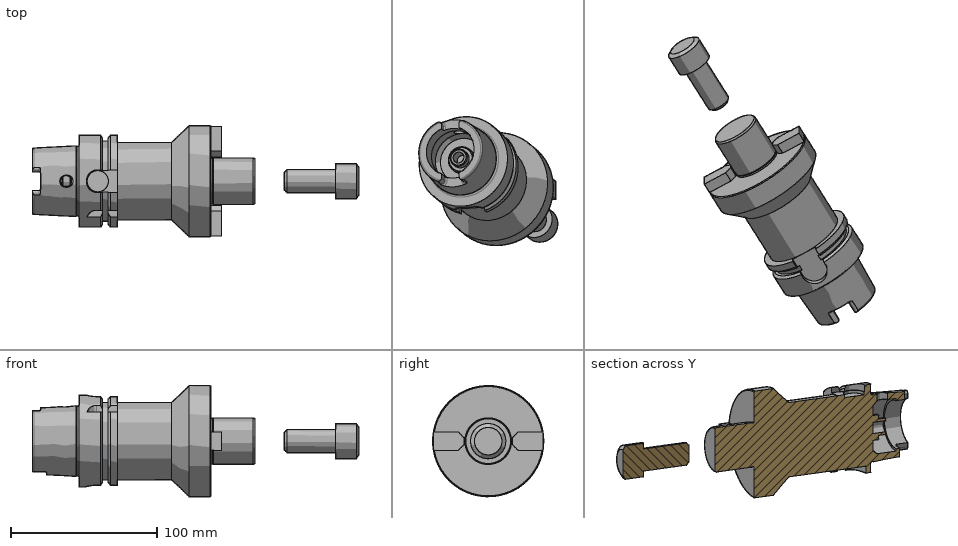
import cadquery as cq
import math


nose_dia = 45.5
nose_fillet = 1.1
taper_end_dia = 48.5
taper_end = 29.7
neck_dia = 47.5
flange_face = 32.0
neck_fillet = 1.3

flange_dia = 62.9
flange_end = 58.0
groove_dia = 55.0
groove_floor_start = 48.0
groove_floor_end = 51.5
groove_left_run = 1.3
groove_right_run = 1.8
groove_drop = 2.0

shank_dia = 53.0
cone_start = 95.0
shoulder_dia = 76.0
shoulder_start = 107.0
shoulder_face = 122.0
shoulder_chamfer = 0.7
pilot_dia = 32.0
pilot_end = 152.0
pilot_chamfer = 1.3
relief_dia = 31.5
relief_end = 123.0
relief_ramp = 0.7

bore_dia = 34.0
bore_lip_depth = 12.5
undercut_dia = 37.0
bore_floor = 30.0
bore_floor_dia = 31.5
nut_dia = 18.0
nut_length = 4.5
nut_chamfer = 0.78
tube_dia = 12.0
tube_chamfer = 0.7
tube_front = 20.3
tube_bore_dia = 7.5

slot_width = 12.5
upper_slot_depth = 5.5
lower_slot_depth = 9.5
slot_edge_radius = 2.2
slot_floor_fillet = 1.1

cut_margin = 2.2
pick_margin = 0.2

radial_hole_dia = 7.5
radial_hole_mouth_dia = 9.8
radial_hole_x = 23.0

upper_pocket_width = 15.5
lower_pocket_width = 18.0
pocket_x = 44.5
pocket_floor = 26.5
dimple_dia = 14.5
dimple_depth = 2.0
notch_offset = 19.8
notch_end_radius = 6.7
notch_end_x = 43.7

key_width = 12.7
key_length = 7.1
key_outer = 37.5
key_inner_chamfer = 4.0
key_chamfer_start = 20.5

screw_tip = 172.0
screw_head_start = 207.0
screw_end = 223.0
screw_dia = 16.0
screw_tip_chamfer = 2.0
screw_head_dia = 24.0
screw_head_chamfer_length = 1.8
screw_head_chamfer_height = 2.7


def revolve_about_x(points):
    """Solid of revolution about X from (x, radius) points."""
    return cq.Workplane("XY").polyline(points).close().revolve(360, (0, 0, 0), (1, 0, 0))


def make_arbor_blank():
    nose_r = nose_dia / 2
    neck_r = neck_dia / 2
    flange_r = flange_dia / 2
    groove_r = groove_dia / 2
    shoulder_r = shoulder_dia / 2
    pilot_r = pilot_dia / 2
    nose_mid = nose_fillet * (1 - math.sqrt(0.5))
    neck_mid = neck_fillet * (1 - math.sqrt(0.5))
    profile = (
        cq.Workplane("XY")
        .moveTo(0, 0)
        .lineTo(0, nose_r - nose_fillet)
        .threePointArc((nose_mid, nose_r - nose_mid), (nose_fillet, nose_r))
        .lineTo(taper_end, taper_end_dia / 2)
        .lineTo(flange_face - neck_fillet, neck_r)
        .threePointArc(
            (flange_face - neck_mid, neck_r + neck_mid),
            (flange_face, neck_r + neck_fillet),
        )
        .lineTo(flange_face, flange_r)
        .lineTo(groove_floor_start - groove_left_run, flange_r)
        .lineTo(groove_floor_start, flange_r - groove_drop)
        .lineTo(groove_floor_start, groove_r)
        .lineTo(groove_floor_end, groove_r)
        .lineTo(groove_floor_end, flange_r - groove_drop)
        .lineTo(groove_floor_end + groove_right_run, flange_r)
        .lineTo(flange_end, flange_r)
        .lineTo(flange_end, shank_dia / 2)
        .lineTo(cone_start, shank_dia / 2)
        .lineTo(shoulder_start, shoulder_r)
        .lineTo(shoulder_face - shoulder_chamfer, shoulder_r)
        .lineTo(shoulder_face, shoulder_r - shoulder_chamfer)
        .lineTo(shoulder_face, relief_dia / 2)
        .lineTo(relief_end, relief_dia / 2)
        .lineTo(relief_end + relief_ramp, pilot_r)
        .lineTo(pilot_end - pilot_chamfer, pilot_r)
        .lineTo(pilot_end, pilot_r - pilot_chamfer / 2)
        .lineTo(pilot_end, 0)
        .close()
    )
    return profile.revolve(360, (0, 0, 0), (1, 0, 0))


def make_bore():
    """Cutter for the blind bore: a lip at its mouth, a wider stretch, then a chamfered floor."""
    floor_chamfer = (undercut_dia - bore_floor_dia) / 2
    return revolve_about_x([
        (0, 0),
        (0, bore_dia / 2),
        (bore_lip_depth, bore_dia / 2),
        (bore_lip_depth, undercut_dia / 2),
        (bore_floor - floor_chamfer, undercut_dia / 2),
        (bore_floor, bore_floor_dia / 2),
        (bore_floor, 0),
    ])


def make_coolant_tube():
    """Open tube on a chamfered round base, standing on the floor of the bore."""
    nut_front = bore_floor - nut_length
    return revolve_about_x([
        (bore_floor, tube_bore_dia / 2),
        (tube_front, tube_bore_dia / 2),
        (tube_front, tube_dia / 2 - tube_chamfer),
        (tube_front + tube_chamfer, tube_dia / 2),
        (nut_front, tube_dia / 2),
        (nut_front, nut_dia / 2 - nut_chamfer),
        (nut_front + nut_chamfer, nut_dia / 2),
        (bore_floor, nut_dia / 2),
    ])


def make_drive_slot(depth):
    """Cutter for the slot on the +Z side; its flared sides round off the slot's outer edges."""
    nose_r = nose_dia / 2
    half = slot_width / 2
    top_z = nose_r + cut_margin
    arc_y = half + slot_edge_radius
    arc_z = math.sqrt((nose_r - slot_edge_radius) ** 2 - arc_y ** 2)
    end_angle = math.atan2(arc_z, arc_y)
    mid_angle = (math.pi + end_angle) / 2
    mid_y = arc_y + slot_edge_radius * math.cos(mid_angle)
    mid_z = arc_z + slot_edge_radius * math.sin(mid_angle)
    end_y = nose_r * math.cos(end_angle)
    end_z = nose_r * math.sin(end_angle)
    cutter = (
        cq.Workplane("YZ")
        .moveTo(-half, 0)
        .lineTo(half, 0)
        .lineTo(half, arc_z)
        .threePointArc((mid_y, mid_z), (end_y, end_z))
        .lineTo(end_y, top_z)
        .lineTo(-end_y, top_z)
        .lineTo(-end_y, end_z)
        .threePointArc((-mid_y, mid_z), (-half, arc_z))
        .close()
        .extrude(depth)
    )
    nose_outline = cq.selectors.BoxSelector(
        (depth - pick_margin, -nose_r, pick_margin),
        (depth + pick_margin, nose_r, top_z - pick_margin),
    )
    return cutter.edges(nose_outline).fillet(slot_floor_fillet)


def make_radial_hole():
    """Countersunk hole from the +Z side through the wall of the nose into the bore."""
    wall_top = taper_end_dia / 2
    wall_bottom = bore_dia / 2 - radial_hole_dia / 2
    hole_r = radial_hole_dia / 2
    mouth_r = radial_hole_mouth_dia / 2
    hole = (
        cq.Workplane("XY", origin=(radial_hole_x, 0, wall_bottom))
        .circle(hole_r)
        .extrude(wall_top - wall_bottom)
    )
    countersink = cq.Solid.makeCone(
        mouth_r, hole_r, mouth_r - hole_r, pnt=(radial_hole_x, 0, wall_top), dir=(0, 0, -1)
    )
    return hole.union(cq.Workplane(countersink))


def make_gripper_pocket(width):
    """Cutter for a pocket on the +Z side: one round end, open toward the shank."""
    height = flange_dia / 2 - pocket_floor
    run = flange_end - pocket_x
    base = cq.Workplane("XY", origin=(pocket_x, 0, pocket_floor))
    round_end = base.circle(width / 2).extrude(height)
    straight = base.center(run / 2, 0).rect(run, width).extrude(height)
    return round_end.union(straight)


def make_dimple():
    """Shallow round recess in the floor of the upper pocket."""
    base = cq.Workplane("XY", origin=(pocket_x, 0, pocket_floor - dimple_depth))
    return base.circle(dimple_dia / 2).extrude(dimple_depth)


def make_orientation_notch():
    """Cutter for the square-cornered notch on the -Y, +Z side of the flange."""
    outer = flange_dia / 2
    r = notch_end_radius
    diagonal = r * math.sqrt(0.5)
    centre_y = -notch_offset - r
    return (
        cq.Workplane("XY", origin=(0, 0, notch_offset))
        .moveTo(flange_end, -notch_offset)
        .lineTo(notch_end_x, -notch_offset)
        .threePointArc((notch_end_x - diagonal, centre_y + diagonal), (notch_end_x - r, centre_y))
        .lineTo(notch_end_x - r, -outer)
        .lineTo(flange_end, -outer)
        .close()
        .extrude(outer - notch_offset)
    )


def make_drive_key():
    """Key on the -Y side of the shoulder, chamfered at the end next to the pilot."""
    half = key_width / 2
    inner = key_chamfer_start - key_inner_chamfer
    return (
        cq.Workplane("YZ", origin=(shoulder_face, 0, 0))
        .polyline([
            (-key_outer, -half),
            (-key_chamfer_start, -half),
            (-inner, -half + key_inner_chamfer),
            (-inner, half - key_inner_chamfer),
            (-key_chamfer_start, half),
            (-key_outer, half),
        ])
        .close()
        .extrude(key_length)
    )


def half_turn(shape):
    return shape.rotate((0, 0, 0), (1, 0, 0), 180)


def make_arbor():
    body = make_arbor_blank().cut(make_bore())
    body = body.cut(make_drive_slot(upper_slot_depth))
    body = body.cut(half_turn(make_drive_slot(lower_slot_depth)))
    body = body.cut(make_radial_hole())
    body = body.union(make_coolant_tube())
    body = body.cut(make_gripper_pocket(upper_pocket_width)).cut(make_dimple())
    body = body.cut(half_turn(make_gripper_pocket(lower_pocket_width)))
    body = body.cut(make_orientation_notch())
    key = make_drive_key()
    return body.union(key).union(half_turn(key))


def make_screw():
    shaft_r = screw_dia / 2
    head_r = screw_head_dia / 2
    return revolve_about_x([
        (screw_tip, 0),
        (screw_tip, shaft_r - screw_tip_chamfer),
        (screw_tip + screw_tip_chamfer, shaft_r),
        (screw_head_start, shaft_r),
        (screw_head_start, head_r),
        (screw_end - screw_head_chamfer_length, head_r),
        (screw_end, head_r - screw_head_chamfer_height),
        (screw_end, 0),
    ])


arbor = make_arbor()
screw = make_screw()

result = cq.Compound.makeCompound([arbor.val(), screw.val()])